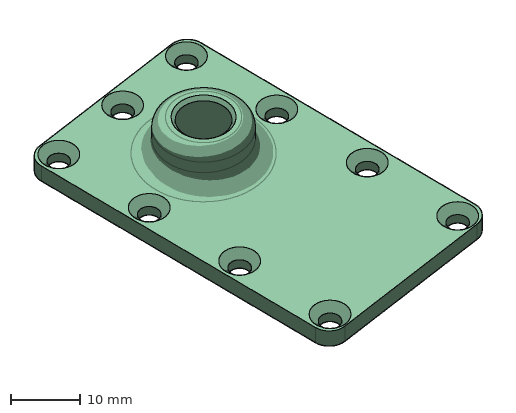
import cadquery as cq

plate_length = 58.5
plate_width = 35.0
plate_thickness = 3.0
corner_radius = 3.0

screw_hole_diameter = 3.4
countersink_diameter = 6.0
countersink_angle = 90.0
screw_x = 26.0
screw_y = 14.0
screws_per_row = 4

total_height = 10.0
boss_x = -10.5
boss_diameter = 15.0
bore_diameter = 8.2
rim_radius = 2.0
foot_radius = 3.0
bore_chamfer = 0.6


def make_plate():
    plate = cq.Workplane("XY").box(
        plate_length, plate_width, plate_thickness, centered=(True, True, False)
    )
    return plate.edges("|Z").fillet(corner_radius)


def make_boss():
    """Revolve the boss profile, in radius and height, about its own axis."""
    boss_radius = boss_diameter / 2
    profile = (
        cq.Workplane("XZ")
        .lineTo(boss_radius + foot_radius, 0)
        .lineTo(boss_radius + foot_radius, plate_thickness)
        .radiusArc((boss_radius, plate_thickness + foot_radius), foot_radius)
        .lineTo(boss_radius, total_height - rim_radius)
        .radiusArc((boss_radius - rim_radius, total_height), -rim_radius)
        .lineTo(0, total_height)
        .close()
    )
    return profile.revolve(360, (0, 0), (0, 1)).translate((boss_x, 0, 0))


def screw_points():
    """Two full rows of screws and one at the middle of the -X end."""
    spacing = 2 * screw_x / (screws_per_row - 1)
    points = [(-screw_x, 0)]
    for column in range(screws_per_row):
        for y in (-screw_y, screw_y):
            points.append((-screw_x + column * spacing, y))
    return points


def chamfer_bore_rim(body):
    """Cut a 45 degree lead-in at the top of the bore."""
    bore_radius = bore_diameter / 2
    cone = cq.Solid.makeCone(
        bore_radius + bore_chamfer,
        bore_radius,
        bore_chamfer,
        pnt=cq.Vector(boss_x, 0, total_height),
        dir=cq.Vector(0, 0, -1),
    )
    return body.cut(cq.Workplane(cone))


plate = (
    make_plate()
    .faces(">Z")
    .workplane(origin=(0, 0, plate_thickness))
    .pushPoints(screw_points())
    .cskHole(screw_hole_diameter, countersink_diameter, countersink_angle)
)

bore = cq.Workplane("XY").center(boss_x, 0).circle(bore_diameter / 2).extrude(total_height)

result = chamfer_bore_rim(plate.union(make_boss()).cut(bore))